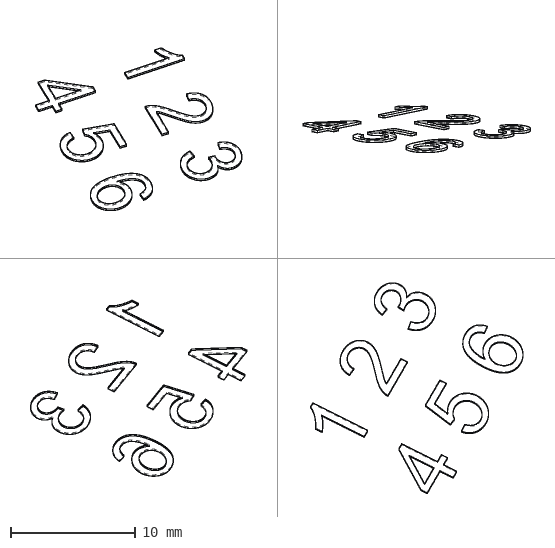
import cadquery as cq
import math

thickness = 0.2
column_pitch = 5.82
row_pitch = 8.0

digit_height = 5.03
overshoot = 0.09
round_stroke = 0.51
bowl_bottom = -overshoot
bowl_floor = bowl_bottom + round_stroke
bowl_ceiling = digit_height - round_stroke

stem_width = 0.6
bowl_side_width = 0.64
bar_height = 0.59
crossbar_height = 0.56

quarter_handle = 4 / 3 * (math.sqrt(2) - 1)


def curve(path, *points):
    """Bezier from the current point; the last point is its end, the others are its handles."""
    return path.bezier(list(points), includeCurrent=True)


def quarters(path, start, *ends, level_first):
    """Chain of quarter ellipses from start, leaving level and upright by turns."""
    leaves_level = level_first
    for end in ends:
        corner = (end[0], start[1]) if leaves_level else (start[0], end[1])
        handles = [
            (
                point[0] + quarter_handle * (corner[0] - point[0]),
                point[1] + quarter_handle * (corner[1] - point[1]),
            )
            for point in (start, end)
        ]
        path = curve(path, *handles, end)
        start = end
        leaves_level = not leaves_level
    return path


def plate(path):
    """Close the outline and give it the digit thickness."""
    return path.close().extrude(thickness)


def start_at(x, y):
    return cq.Workplane("XY").moveTo(x, y)


def make_one():
    right = 2.6
    left = right - stem_width
    flag_left = 0.75
    path = start_at(right, 0).lineTo(left, 0).lineTo(left, 3.92)
    path = curve(path, (1.57, 3.45), (1.06, 3.3), (flag_left, 3.18))
    path = path.lineTo(flag_left, 3.78)
    path = curve(path, (1.44, 4.1), (2.01, 4.57), (2.2, digit_height))
    path = path.lineTo(right, digit_height)
    return plate(path)


def make_two():
    left = 0.21
    right = 3.52
    inner_right = right - bowl_side_width
    outer_top = (1.95, digit_height)
    inner_top = (1.94, bowl_ceiling)
    outer_side = (right, 3.65)
    inner_side = (inner_right, 3.66)
    path = start_at(right, bar_height).lineTo(right, 0).lineTo(left, 0)
    path = curve(path, (left, 0.3), (0.32, 0.67), (0.7, 1.09))
    path = curve(path, (0.97, 1.42), (1.5, 1.85))
    path = curve(path, (2.59, 2.75), (inner_right, 3.19), inner_side)
    path = quarters(path, inner_side, inner_top, (0.97, 3.52), level_first=False)
    path = path.lineTo(0.33, 3.58)
    path = curve(path, (0.41, 4.54), (1.0, digit_height), outer_top)
    path = quarters(path, outer_top, outer_side, level_first=True)
    path = curve(path, (right, 3.24), (3.35, 2.86), (2.98, 2.43))
    path = curve(path, (2.7, 2.12), (2.04, 1.55))
    path = curve(path, (1.3, 0.94), (1.2, 0.82), (1.07, bar_height))
    return plate(path)


def make_three():
    lower_right = 3.57
    upper_right = 3.33
    lower_x = 1.89
    upper_x = 1.86
    tail_tip = (0.29, 1.32)
    floor = (lower_x, bowl_floor)
    bottom = (lower_x, bowl_bottom)
    ceiling = (upper_x, bowl_ceiling)
    top = (upper_x, digit_height)
    waist_lower = (1.94, 2.43)
    waist_upper = (1.68, 2.9)
    path = start_at(*tail_tip).lineTo(0.9, 1.4)
    path = curve(path, (1.05, 0.7), (1.4, bowl_floor), floor)
    path = quarters(path, floor, (lower_right - bowl_side_width, 1.47), waist_lower, level_first=True)
    path = curve(path, (1.77, 2.43), (1.51, 2.37))
    path = path.lineTo(1.57, 2.92)
    path = curve(path, (1.63, 2.9), waist_upper)
    path = quarters(path, waist_upper, (upper_right - bowl_side_width, 3.73), ceiling, level_first=True)
    path = curve(path, (1.39, bowl_ceiling), (1.07, 4.22), (0.97, 3.63))
    path = path.lineTo(0.36, 3.73)
    path = curve(path, (0.5, 4.57), (1.07, digit_height), top)
    path = quarters(path, top, (upper_right, 3.73), level_first=True)
    path = curve(path, (upper_right, 3.3), (3.1, 2.93), (2.63, 2.7))
    lower_side = (lower_right, 1.48)
    path = curve(path, (3.24, 2.59), (lower_right, 2.13), lower_side)
    path = quarters(path, lower_side, bottom, level_first=False)
    path = curve(path, (1.0, bowl_bottom), (0.4, 0.48), tail_tip)
    return plate(path)


def make_four():
    left = 0.09
    right = 3.55
    stem_right = 2.87
    stem_left = stem_right - stem_width
    crossbar_bottom = 1.21
    crossbar_top = crossbar_bottom + crossbar_height
    outline = [
        (stem_left, 0),
        (stem_left, crossbar_bottom),
        (left, crossbar_bottom),
        (left, crossbar_top),
        (2.37, digit_height),
        (stem_right, digit_height),
        (stem_right, crossbar_top),
        (right, crossbar_top),
        (right, crossbar_bottom),
        (stem_right, crossbar_bottom),
        (stem_right, 0),
    ]
    window = [(stem_left, crossbar_top), (stem_left, 4.02), (0.7, crossbar_top)]
    body = plate(cq.Workplane("XY").polyline(outline))
    return body.cut(plate(cq.Workplane("XY").polyline(window)))


def make_five():
    right = 3.61
    bowl_x = 1.9
    bar_top = 4.95
    bar_bottom = bar_top - bar_height
    bar_right = 3.37
    tail_tip = (0.29, 1.32)
    floor = (bowl_x, bowl_floor)
    bottom = (bowl_x, bowl_bottom)
    inner_top = (bowl_x, 2.78)
    outer_top = (2.05, 3.33)
    path = start_at(*tail_tip).lineTo(0.94, 1.36)
    path = curve(path, (1.05, 0.74), (1.4, bowl_floor), floor)
    path = quarters(path, floor, (right - bowl_side_width, 1.65), inner_top, level_first=True)
    path = curve(path, (1.48, 2.78), (1.16, 2.59), (0.98, 2.3))
    path = path.lineTo(0.4, 2.37).lineTo(0.89, bar_top).lineTo(bar_right, bar_top)
    path = path.lineTo(bar_right, bar_bottom).lineTo(1.38, bar_bottom).lineTo(1.1, 3.01)
    path = curve(path, (1.55, outer_top[1]), outer_top)
    path = quarters(path, outer_top, (right, 1.7), bottom, level_first=True)
    path = curve(path, (0.98, bowl_bottom), (0.36, 0.47), tail_tip)
    return plate(path)


def make_six():
    left = 0.25
    right = 3.57
    bowl_x = 2.0
    hook_tip = (3.48, 3.78)
    top = (2.05, digit_height)
    ceiling = (2.03, bowl_ceiling)
    bottom = (bowl_x, bowl_bottom)
    bowl_top = (2.09, 3.25)
    crotch = (0.88, 2.59)
    path = start_at(*hook_tip).lineTo(2.87, 3.73)
    path = curve(path, (2.75, 4.22), (2.51, bowl_ceiling), ceiling)
    path = curve(path, (1.2, bowl_ceiling), (0.88, 3.55), crotch)
    path = curve(path, (1.18, 3.02), (1.62, bowl_top[1]), bowl_top)
    path = quarters(path, bowl_top, (right, 1.63), bottom, level_first=True)
    path = curve(path, (0.98, bowl_bottom), (left, 0.6), (left, 2.35))
    path = curve(path, (left, 4.23), (1.01, digit_height), top)
    path = curve(path, (2.85, digit_height), (3.37, 4.6), hook_tip)
    return plate(path).cut(make_six_eye(right - bowl_side_width, bowl_x))


def make_six_eye(eye_right, eye_x):
    """Closed opening in the bowl of the six."""
    eye_start = (0.97, 1.62)
    path = quarters(
        start_at(*eye_start),
        eye_start,
        (eye_x, bowl_floor),
        (eye_right, 1.6),
        (eye_x, 2.7),
        eye_start,
        level_first=False,
    )
    return plate(path)


digit_rows = [
    [make_four, make_five, make_six],
    [make_one, make_two, make_three],
]
digits = []
for row, makers in enumerate(digit_rows):
    for column, make_digit in enumerate(makers):
        digit = make_digit().translate((column * column_pitch, row * row_pitch, 0))
        digits.append(digit.val())

result = cq.Compound.makeCompound(digits)